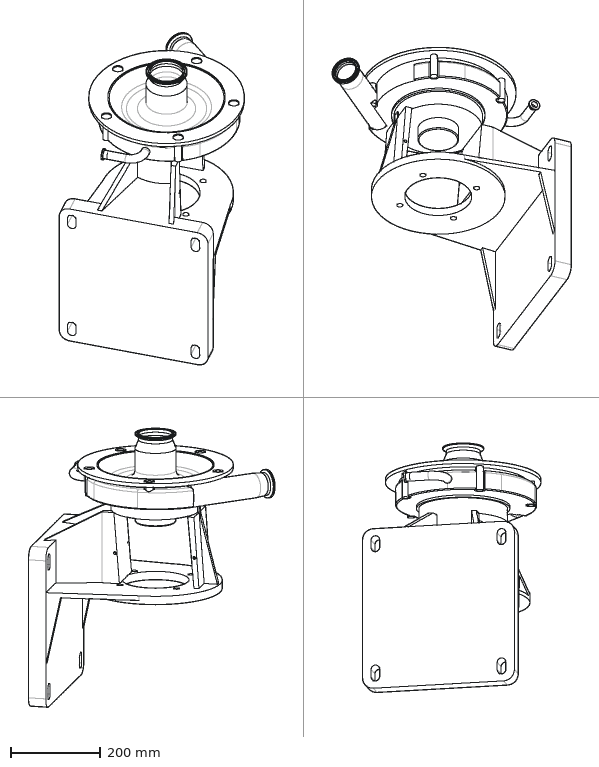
import cadquery as cq
import math

total_height = 610.5

plate_width = 350.0
plate_height = 370.0
plate_thickness = 40.0
plate_front_y = -250.0
plate_back_y = plate_front_y + plate_thickness
plate_corner_radius = 25.0
slot_spacing_x = 290.5
slot_spacing_z = 300.0
slot_length = 36.5
slot_width = 19.5

shelf_top = 271.0
shelf_thickness = 11.0
pad_thickness = 19.5
pad_radius = 150.0
shelf_end_half_width = 174.0
shelf_bore_radius = 75.0
shelf_bolt_circle_radius = 93.0
shelf_bolt_hole_radius = 7.0
shelf_bolt_first_angle = 45.0
shelf_bolt_count = 4
gusset_depth = 33.0
gusset_foot_z = 105.0
gusset_thickness = 11.0

ring_radius = 99.5
ring_bottom = 435.0
rear_rib_top = 451.0
front_leg_half_width = 55.5
front_leg_corner_y = -110.0
front_leg_inner_y_top = -82.5
front_leg_inner_y_bottom = -69.5
rib_thickness = 11.0
rib_end_half_width = 90.0
rib_end_y = -235.5
rear_leg_half_width = 54.0
rear_leg_inner_y_top = 88.0
rear_leg_inner_y_bottom = 102.5
rear_leg_outer_y_top = 102.5
rear_leg_outer_y_bottom = 114.0
rear_rib_foot_y = 144.5
rear_rib_thickness = 12.0
leg_hole_radius = 3.0
leg_hole_depth = 9.0
leg_hole_z = 341.0
front_leg_hole_y = -80.0
rear_leg_hole_y = 103.0

volute_start_angle = 135.0
volute_end_angle = 405.0
volute_start_radius = 148.0
volute_end_radius = 167.0
volute_arc_count = 6
casing_bottom = 475.0
casing_top = 521.0
casing_top_fillet = 6.0
casing_bottom_chamfer = 2.5
lip_radius = 105.0
lip_thickness = 5.0
neck_radius = 144.5
hub_radius = 46.0
hub_bottom = 405.5
hub_chamfer = 2.5

flange_radius = plate_width / 2
flange_top = 538.5
flange_thickness = 8.5
dish_rim_radius = 132.0
dish_rim_depth = 2.0
dish_cone_top_radius = 129.0
dish_floor_z = 506.0
dish_floor_radius = 96.5
dish_fillet = 16.0
post_count = 5
post_first_angle = 9.0
post_circle_radius = 152.5
post_radius = 8.0
post_notch_radius = 11.5
post_recess_radius = post_notch_radius
post_recess_depth = 3.0

inlet_radius = 46.5
inlet_root_fillet = 19.0
inlet_taper_start = 576.0
inlet_taper_end = 596.0
inlet_neck_radius = 38.5
inlet_rim_thickness = 2.5
inlet_flare_height = 5.0
inlet_bore_radius = 37.0
inlet_bore_taper_start = 581.0
inlet_bore_taper_end = 564.0
inlet_bore_wide_radius = 41.5
inlet_groove_inner_radius = 40.0
inlet_groove_outer_radius = 44.0
rim_groove_depth = 1.0

outlet_axis_offset = 141.0
outlet_length = 209.5
outlet_z = 497.5
outlet_radius = 28.0
outlet_neck_radius = 26.0
outlet_rim_radius = 32.5
outlet_rim_thickness = 5.0
outlet_flare_end = 8.0
outlet_taper_start = 13.5
outlet_taper_end = 35.5
outlet_bore_radius = 24.5
outlet_bore_depth = 13.5
outlet_groove_inner_radius = 27.0
outlet_groove_outer_radius = 30.0

drain_radius = 10.0
drain_z = 499.5
drain_bend_radius = 33.5
drain_bend_start_y = -163.5
drain_end_x = -89.0
drain_rim_radius = 13.0
drain_rim_thickness = 3.5
drain_bore_radius = 7.5
drain_bore_depth = 12.0


def disc(radius, bottom, top):
    """Cylinder on the pump axis between two heights."""
    return cq.Workplane("XY").workplane(offset=bottom).circle(radius).extrude(top - bottom)


def side_profile(points, half_width):
    """Prism along X from (y, z) points, symmetric about the pump axis."""
    return cq.Workplane("YZ").polyline(points).close().extrude(half_width, both=True)


def mounting_plate():
    middle_z = plate_height / 2
    plate = (
        cq.Workplane("XY")
        .box(plate_width, plate_thickness, plate_height)
        .edges("|Y")
        .fillet(plate_corner_radius)
    )
    slots = (
        cq.Workplane("XZ")
        .rarray(slot_spacing_x, slot_spacing_z, 2, 2)
        .slot2D(slot_length, slot_width, 90)
        .extrude(plate_thickness, both=True)
    )
    return plate.cut(slots).translate((0, plate_front_y + plate_thickness / 2, middle_z))


def shelf_wing(inset, bottom):
    """Tapered plan of the shelf, pulled in at both sides and reaching up to the shelf top."""
    outline = [
        (inset - pad_radius, 0),
        (pad_radius - inset, 0),
        (shelf_end_half_width - inset, plate_back_y),
        (inset - shelf_end_half_width, plate_back_y),
    ]
    base = cq.Workplane("XY").workplane(offset=bottom)
    return base.polyline(outline).close().extrude(shelf_top - bottom)


def shelf():
    """Shelf and pad with a triangular gusset flush with each side edge."""
    wing = shelf_wing(0, shelf_top - shelf_thickness)
    pad = disc(pad_radius, shelf_top - pad_thickness, shelf_top)
    gusset_tip_y = plate_back_y + gusset_depth
    gusset_profile = [
        (plate_back_y, shelf_top),
        (gusset_tip_y, shelf_top),
        (gusset_tip_y, shelf_top - shelf_thickness),
        (plate_back_y, gusset_foot_z),
    ]
    gussets = (
        shelf_wing(0, gusset_foot_z)
        .cut(shelf_wing(gusset_thickness, gusset_foot_z))
        .intersect(side_profile(gusset_profile, shelf_end_half_width))
    )
    return wing.union(pad).union(gussets)


def shelf_holes():
    bottom = shelf_top - pad_thickness
    bolt_holes = (
        cq.Workplane("XY")
        .workplane(offset=bottom)
        .polarArray(shelf_bolt_circle_radius, shelf_bolt_first_angle, 360, shelf_bolt_count)
        .circle(shelf_bolt_hole_radius)
        .extrude(pad_thickness)
    )
    return bolt_holes.union(disc(shelf_bore_radius, bottom, shelf_top))


def front_leg():
    """Leg with two splayed ribs; the space between them is filled up to the plate top."""
    outline = [
        (-front_leg_half_width, 0),
        (-front_leg_half_width, front_leg_corner_y),
        (-rib_end_half_width, rib_end_y),
        (rib_end_half_width, rib_end_y),
        (front_leg_half_width, front_leg_corner_y),
        (front_leg_half_width, 0),
    ]
    height = ring_bottom - shelf_top
    base = cq.Workplane("XY").workplane(offset=shelf_top)
    body = base.polyline(outline).close().extrude(height)

    splay = (rib_end_half_width - front_leg_half_width) / (front_leg_corner_y - rib_end_y)

    def inner_x(y):
        return front_leg_half_width - rib_thickness + splay * (front_leg_corner_y - y)

    pocket_outline = [
        (-inner_x(0), 0),
        (-inner_x(plate_front_y), plate_front_y),
        (inner_x(plate_front_y), plate_front_y),
        (inner_x(0), 0),
    ]
    pocket = (
        cq.Workplane("XY")
        .workplane(offset=plate_height)
        .polyline(pocket_outline)
        .close()
        .extrude(ring_bottom - plate_height)
        .cut(disc(ring_radius, plate_height, ring_bottom))
    )
    side_limits = [
        (front_leg_inner_y_bottom, shelf_top),
        (front_leg_inner_y_top, ring_bottom),
        (front_leg_corner_y, ring_bottom),
        (rib_end_y, plate_height),
        (plate_back_y, plate_height),
        (plate_back_y, shelf_top),
    ]
    return body.cut(pocket).intersect(side_profile(side_limits, rib_end_half_width))


def rear_leg():
    """Leaning slab with one triangular rib behind it."""
    slab = side_profile(
        [
            (rear_leg_inner_y_bottom, shelf_top),
            (rear_leg_inner_y_top, ring_bottom),
            (rear_leg_outer_y_top, ring_bottom),
            (rear_leg_outer_y_bottom, shelf_top),
        ],
        rear_leg_half_width,
    )
    rib = side_profile(
        [
            (rear_leg_inner_y_bottom, shelf_top),
            (rear_leg_inner_y_top, rear_rib_top),
            (rear_leg_outer_y_top, rear_rib_top),
            (rear_leg_outer_y_top, ring_bottom),
            (rear_rib_foot_y, shelf_top),
        ],
        rear_rib_thickness / 2,
    )
    return slab.union(rib)


def leg_holes(y, half_width):
    """Small blind holes in the two end faces of a leg."""
    inner_x = half_width - leg_hole_depth
    hole = (
        cq.Workplane("YZ", origin=(inner_x, y, leg_hole_z))
        .circle(leg_hole_radius)
        .extrude(leg_hole_depth)
    )
    return hole.union(hole.mirror("YZ"))


def volute_point(fraction):
    """Point on the volute wall, from the tongue (0) to the outlet (1)."""
    radius = volute_start_radius + fraction * (volute_end_radius - volute_start_radius)
    angle = math.radians(volute_start_angle + fraction * (volute_end_angle - volute_start_angle))
    return (radius * math.cos(angle), radius * math.sin(angle))


def volute_body():
    outline = cq.Workplane("XY").workplane(offset=casing_bottom).lineTo(*volute_point(0))
    for arc in range(volute_arc_count):
        middle = volute_point((arc + 0.5) / volute_arc_count)
        end = volute_point((arc + 1) / volute_arc_count)
        outline = outline.threePointArc(middle, end)
    spiral = outline.close().extrude(casing_top - casing_bottom)
    return spiral.union(disc(neck_radius, casing_bottom, casing_top))


def casing():
    volute = (
        volute_body()
        .faces(">Z")
        .edges()
        .fillet(casing_top_fillet)
        .faces("<Z")
        .edges()
        .chamfer(casing_bottom_chamfer)
    )
    hub = disc(hub_radius, hub_bottom, ring_bottom).faces("<Z").edges().chamfer(hub_chamfer)
    flange_bottom = flange_top - flange_thickness
    return (
        volute.union(disc(neck_radius, casing_bottom, flange_top))
        .cut(post_cylinders(post_notch_radius, casing_bottom, flange_bottom))
        .union(disc(flange_radius, flange_bottom, flange_top))
        .union(disc(lip_radius, casing_bottom - lip_thickness, casing_bottom))
        .union(disc(ring_radius, ring_bottom, casing_bottom))
        .union(hub)
    )


def post_cylinders(radius, bottom, top):
    return (
        cq.Workplane("XY")
        .workplane(offset=bottom)
        .polarArray(post_circle_radius, post_first_angle, 360, post_count)
        .circle(radius)
        .extrude(top - bottom)
    )


def dish():
    """Conical recess in the cover flange."""
    rim_z = flange_top - dish_rim_depth
    cone = (
        cq.Workplane("XZ")
        .moveTo(0, dish_floor_z)
        .lineTo(dish_floor_radius, dish_floor_z)
        .lineTo(dish_cone_top_radius, rim_z)
        .lineTo(0, rim_z)
        .close()
        .revolve(360, (0, 0, 0), (0, 1, 0))
        .faces("<Z")
        .edges()
        .fillet(dish_fillet)
    )
    return cone.union(disc(dish_rim_radius, rim_z, flange_top))


def inlet():
    rim_bottom = total_height - inlet_rim_thickness
    root_radius = inlet_radius + inlet_root_fillet
    root_top = dish_floor_z + inlet_root_fillet
    fillet_reach = inlet_root_fillet * (1 - math.sqrt(0.5))
    root_middle = (inlet_radius + fillet_reach, dish_floor_z + fillet_reach)
    pipe = (
        cq.Workplane("XZ")
        .moveTo(0, dish_floor_z - flange_thickness)
        .lineTo(root_radius, dish_floor_z - flange_thickness)
        .lineTo(root_radius, dish_floor_z)
        .threePointArc(root_middle, (inlet_radius, root_top))
        .lineTo(inlet_radius, inlet_taper_start)
        .lineTo(inlet_neck_radius, inlet_taper_end)
        .lineTo(inlet_neck_radius, rim_bottom - inlet_flare_height)
        .lineTo(inlet_radius, rim_bottom)
        .lineTo(inlet_radius, total_height)
        .lineTo(0, total_height)
        .close()
        .revolve(360, (0, 0, 0), (0, 1, 0))
    )
    bore = (
        cq.Workplane("XZ")
        .moveTo(0, dish_floor_z)
        .lineTo(inlet_bore_wide_radius, dish_floor_z)
        .lineTo(inlet_bore_wide_radius, inlet_bore_taper_end)
        .lineTo(inlet_bore_radius, inlet_bore_taper_start)
        .lineTo(inlet_bore_radius, total_height)
        .lineTo(0, total_height)
        .close()
        .revolve(360, (0, 0, 0), (0, 1, 0))
    )
    groove_bottom = total_height - rim_groove_depth
    groove = disc(inlet_groove_outer_radius, groove_bottom, total_height).cut(
        disc(inlet_groove_inner_radius, groove_bottom, total_height)
    )
    return pipe.cut(bore).cut(groove)


def outlet_solid(profile):
    """Revolve (radius, distance from the tip) points about the outlet axis."""
    diagonal = math.sqrt(0.5)
    tip = (
        (outlet_axis_offset - outlet_length) * diagonal,
        (outlet_axis_offset + outlet_length) * diagonal,
        outlet_z,
    )
    plane = cq.Plane(origin=tip, xDir=(0, 0, 1), normal=(diagonal, diagonal, 0))
    return cq.Workplane(plane).polyline(profile).close().revolve(360, (0, 0, 0), (0, 1, 0))


def outlet():
    return outlet_solid(
        [
            (0, 0),
            (outlet_rim_radius, 0),
            (outlet_rim_radius, outlet_rim_thickness),
            (outlet_neck_radius, outlet_flare_end),
            (outlet_neck_radius, outlet_taper_start),
            (outlet_radius, outlet_taper_end),
            (outlet_radius, outlet_length),
            (0, outlet_length),
        ]
    )


def outlet_bore():
    return outlet_solid(
        [
            (0, 0),
            (outlet_bore_radius, 0),
            (outlet_bore_radius, outlet_bore_depth),
            (0, outlet_bore_depth),
        ]
    )


def outlet_groove():
    return outlet_solid(
        [
            (outlet_groove_inner_radius, 0),
            (outlet_groove_outer_radius, 0),
            (outlet_groove_outer_radius, rim_groove_depth),
            (outlet_groove_inner_radius, rim_groove_depth),
        ]
    )


def drain():
    pipe_y = drain_bend_start_y - drain_bend_radius
    middle = drain_bend_radius * (1 - math.sqrt(0.5))
    path = (
        cq.Workplane("XY")
        .workplane(offset=drain_z)
        .moveTo(0, drain_bend_start_y + drain_bend_radius)
        .lineTo(0, drain_bend_start_y)
        .threePointArc((-middle, pipe_y + middle), (-drain_bend_radius, pipe_y))
        .lineTo(drain_end_x, pipe_y)
    )
    start = cq.Workplane("XZ", origin=(0, drain_bend_start_y + drain_bend_radius, drain_z))
    pipe = start.circle(drain_radius).sweep(path)
    end = cq.Workplane("YZ", origin=(drain_end_x, pipe_y, drain_z))
    rim = end.circle(drain_rim_radius).extrude(drain_rim_thickness)
    bore = end.circle(drain_bore_radius).extrude(drain_bore_depth)
    return pipe.union(rim).cut(bore)


bracket = (
    mounting_plate()
    .union(shelf())
    .union(front_leg())
    .union(rear_leg())
    .cut(shelf_holes())
    .cut(leg_holes(front_leg_hole_y, front_leg_half_width))
    .cut(leg_holes(rear_leg_hole_y, rear_leg_half_width))
)
pump = (
    casing()
    .union(post_cylinders(post_radius, casing_bottom, flange_top))
    .union(outlet())
    .cut(outlet_bore())
    .cut(outlet_groove())
    .cut(dish())
    .union(inlet())
    .cut(post_cylinders(post_recess_radius, flange_top - post_recess_depth, flange_top))
    .union(drain())
)
result = bracket.union(pump)